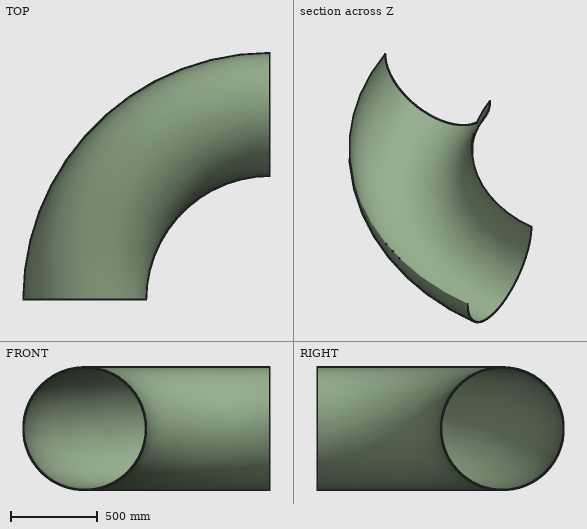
import cadquery as cq

outer_diameter = 711.2
wall_thickness = 5.0
bend_radius = 1067.0
bend_angle = 90.0

outer_radius = outer_diameter / 2
inner_radius = outer_radius - wall_thickness


def make_elbow():
    """Sweep the pipe ring about a vertical bend axis.

    The inlet ring lies in the XZ plane, centred on the origin and facing -Y.
    The bend axis stands on +X, so the outlet faces +X.
    """
    ring = cq.Workplane("XZ").circle(outer_radius).circle(inner_radius)
    axis_start = (bend_radius, 0)
    axis_end = (bend_radius, -1)
    return ring.revolve(bend_angle, axis_start, axis_end)


result = make_elbow()